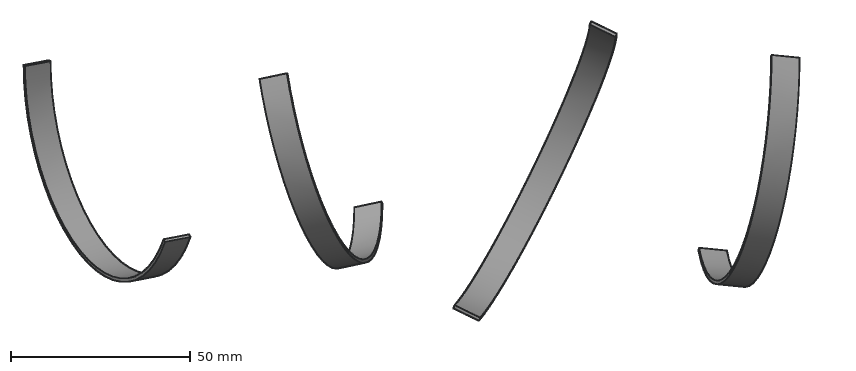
import cadquery as cq
import math

outer_radius = 46.1
thickness = 1.0
width = 8.0
start_angle = 180.0
end_angle = 330.8

inner_radius = outer_radius - thickness
middle_angle = (start_angle + end_angle) / 2


def arc_point(radius, angle):
    """Point on a circle about the arc centre, angle in degrees from +X."""
    turn = math.radians(angle)
    return (radius * math.cos(turn), radius * math.sin(turn))


result = (
    cq.Workplane("XZ")
    .moveTo(*arc_point(outer_radius, start_angle))
    .threePointArc(arc_point(outer_radius, middle_angle), arc_point(outer_radius, end_angle))
    .lineTo(*arc_point(inner_radius, end_angle))
    .threePointArc(arc_point(inner_radius, middle_angle), arc_point(inner_radius, start_angle))
    .close()
    .extrude(width / 2, both=True)
)